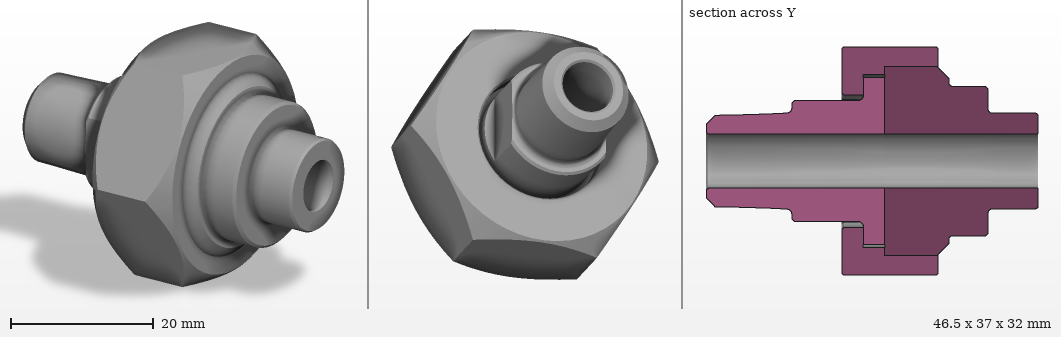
import cadquery as cq
import math


bore_radius = 7.5 / 2
bore_chamfer = 0.3

spigot_tip_radius = 10.3 / 2
spigot_end_radius = 13.5 / 2
spigot_taper_length = 10.0
taper_ratio = 1 / 16
collar_start = 12.0
collar_radius = 17 / 2
collar_chamfer = 0.35
spigot_fillet = 0.75
wrench_flat_width = 14.0
flange_radius = 23.5 / 2
flange_thickness = 3.0
flange_fillet = 0.75

nut_start = 19.0
nut_length = 13.5
nut_width_across_flats = 32.0
nut_chamfer_circle_radius = 31.5 / 2
nut_lip_thickness = 3.0
nut_lip_radius = 18.5 / 2
nut_lip_chamfer = 0.3
nut_recess_radius = 24.12 / 2

thread_radius = 26.4 / 2
thread_end = 34.0
thread_chamfer = 1.6
shoulder_radius = 21 / 2
shoulder_end = 39.5
shoulder_chamfer = 0.4
neck_radius = 13.5 / 2
neck_chamfer_length = 0.4
neck_chamfer_depth = 0.25
body_fillet = 0.5
overall_length = 46.5

taper_end = collar_start - spigot_fillet
nut_end = nut_start + nut_length
flange_start = nut_start + nut_lip_thickness
body_start = flange_start + flange_thickness


def revolve_about_x(profile):
    """Turn a closed profile, drawn as (x, radius), about the X axis."""
    return profile.close().revolve(360, (0, 0, 0), (1, 0, 0))


def fillet_up_to_wall(profile, x, shaft_radius, size):
    """Quarter arc from a shaft surface up to a wall at x, with the shaft on the -X side."""
    offset = size * (1 - math.sqrt(0.5))
    return profile.threePointArc((x - offset, shaft_radius + offset), (x, shaft_radius + size))


def fillet_down_from_wall(profile, x, shaft_radius, size):
    """Quarter arc from a wall at x down to a shaft surface on the +X side."""
    offset = size * (1 - math.sqrt(0.5))
    return profile.threePointArc((x + offset, shaft_radius + offset), (x + size, shaft_radius))


def make_tail_piece():
    taper_start = taper_end - spigot_taper_length
    taper_start_radius = spigot_end_radius - spigot_taper_length * taper_ratio / 2

    profile = (
        cq.Workplane("XY")
        .moveTo(bore_chamfer, bore_radius)
        .lineTo(0, bore_radius + bore_chamfer)
        .lineTo(0, spigot_tip_radius)
        .lineTo(taper_start, taper_start_radius)
        .lineTo(taper_end, spigot_end_radius)
    )
    profile = fillet_up_to_wall(profile, collar_start, spigot_end_radius, spigot_fillet)
    profile = (
        profile.lineTo(collar_start, collar_radius - collar_chamfer)
        .lineTo(collar_start + collar_chamfer, collar_radius)
        .lineTo(flange_start - flange_fillet, collar_radius)
    )
    profile = fillet_up_to_wall(profile, flange_start, collar_radius, flange_fillet)
    profile = (
        profile.lineTo(flange_start, flange_radius)
        .lineTo(body_start, flange_radius)
        .lineTo(body_start, bore_radius)
    )
    tail = revolve_about_x(profile)

    flat_length = nut_start - taper_end
    flat_depth = collar_radius - wrench_flat_width / 2
    for side in (-1, 1):
        flat_cut = cq.Workplane("XY").box(flat_length, flat_depth, 2 * collar_radius)
        flat_center_y = side * (wrench_flat_width + flat_depth) / 2
        tail = tail.cut(flat_cut.translate((taper_end + flat_length / 2, flat_center_y, 0)))
    return tail


def make_nut():
    hex_radius = nut_width_across_flats / math.sqrt(3)
    hexagon = (
        cq.Workplane("YZ", origin=(nut_start, 0, 0))
        .polygon(6, 2 * hex_radius)
        .extrude(nut_length)
    )

    corner_drop = hex_radius - nut_chamfer_circle_radius
    chamfer_envelope = revolve_about_x(
        cq.Workplane("XY")
        .moveTo(nut_start, 0)
        .lineTo(nut_start, nut_chamfer_circle_radius)
        .lineTo(nut_start + corner_drop, hex_radius)
        .lineTo(nut_end - corner_drop, hex_radius)
        .lineTo(nut_end, nut_chamfer_circle_radius)
        .lineTo(nut_end, 0)
    )

    opening = revolve_about_x(
        cq.Workplane("XY")
        .moveTo(nut_start, 0)
        .lineTo(nut_start, nut_lip_radius + nut_lip_chamfer)
        .lineTo(nut_start + nut_lip_chamfer, nut_lip_radius)
        .lineTo(flange_start, nut_lip_radius)
        .lineTo(flange_start, nut_recess_radius)
        .lineTo(body_start, nut_recess_radius)
        .lineTo(body_start, thread_radius)
        .lineTo(nut_end, thread_radius)
        .lineTo(nut_end, 0)
    )
    return hexagon.intersect(chamfer_envelope).cut(opening)


def make_threaded_body():
    profile = (
        cq.Workplane("XY")
        .moveTo(body_start, bore_radius)
        .lineTo(body_start, thread_radius)
        .lineTo(thread_end - thread_chamfer, thread_radius)
        .lineTo(thread_end, thread_radius - thread_chamfer)
        .lineTo(thread_end, shoulder_radius + body_fillet)
    )
    profile = fillet_down_from_wall(profile, thread_end, shoulder_radius, body_fillet)
    profile = (
        profile.lineTo(shoulder_end - shoulder_chamfer, shoulder_radius)
        .lineTo(shoulder_end, shoulder_radius - shoulder_chamfer)
        .lineTo(shoulder_end, neck_radius + body_fillet)
    )
    profile = fillet_down_from_wall(profile, shoulder_end, neck_radius, body_fillet)
    profile = (
        profile.lineTo(overall_length - neck_chamfer_length, neck_radius)
        .lineTo(overall_length, neck_radius - neck_chamfer_depth)
        .lineTo(overall_length, bore_radius)
    )
    return revolve_about_x(profile)


tail_piece = make_tail_piece()
nut = make_nut()
threaded_body = make_threaded_body()

result = cq.Compound.makeCompound([tail_piece.val(), nut.val(), threaded_body.val()])